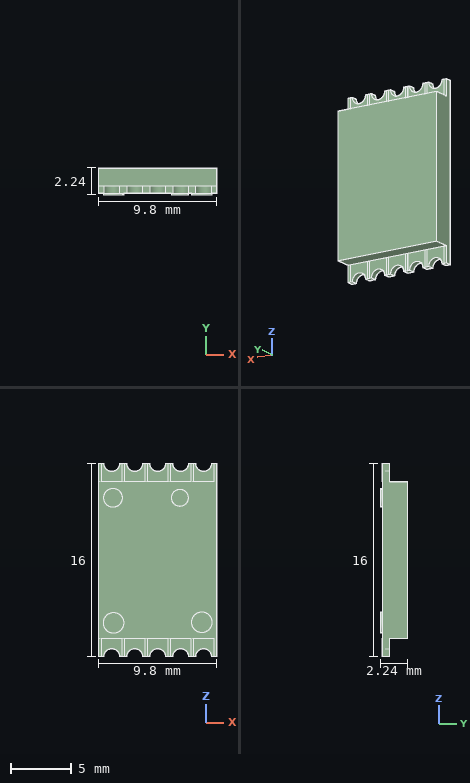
import cadquery as cq

width = 9.8
height = 16.0
depth = 2.24

board_thickness = 0.6
pad_thickness = 0.01
stud_projection = 0.14
block_height = 13.0
block_back = depth - stud_projection

contact_count = 5
contact_pitch = 1.9
pad_width = 1.7
pad_length = 1.5
notch_diameter = 1.3
contact_front = -pad_thickness
contact_back = board_thickness + pad_thickness

studs = [
    (-3.7, 5.15, 1.55),
    (1.84, 5.15, 1.4),
    (-3.65, -5.2, 1.7),
    (3.65, -5.15, 1.7),
]


def box_between(x_size, y_front, y_back, z_size, x=0, z=0):
    """Box centred on (x, z) that spans the given Y range."""
    y_size = y_back - y_front
    return cq.Workplane("XY").box(x_size, y_size, z_size).translate((x, (y_front + y_back) / 2, z))


def cylinder_between(diameter, y_front, y_back, x, z):
    """Cylinder along Y, centred on (x, z), that spans the given Y range."""
    face = cq.Workplane("XZ", origin=(x, y_front, z)).circle(diameter / 2)
    return face.extrude(y_front - y_back)


def contact_positions():
    """Pairs of X and edge direction (+1 top, -1 bottom) for every contact."""
    first_x = -contact_pitch * (contact_count - 1) / 2
    x_positions = [first_x + i * contact_pitch for i in range(contact_count)]
    return [(x, side) for side in (1, -1) for x in x_positions]


def make_body():
    """Thin board with a shorter block on its back."""
    board = box_between(width, 0, board_thickness, height)
    block = box_between(width, 0, block_back, block_height)
    return board.union(block)


def add_pads(body):
    """Thin pads on both faces of the board at every contact."""
    for x, side in contact_positions():
        z = side * (height - pad_length) / 2
        pad = box_between(pad_width, contact_front, contact_back, pad_length, x, z)
        body = body.union(pad)
    return body


def cut_notches(body):
    """Half-round notches through the board edge at every contact."""
    for x, side in contact_positions():
        notch = cylinder_between(notch_diameter, contact_front, contact_back, x, side * height / 2)
        body = body.cut(notch)
    return body


def add_studs(body):
    """Low round studs on the front face."""
    for x, z, diameter in studs:
        body = body.union(cylinder_between(diameter, -stud_projection, board_thickness, x, z))
    return body


result = add_studs(cut_notches(add_pads(make_body())))